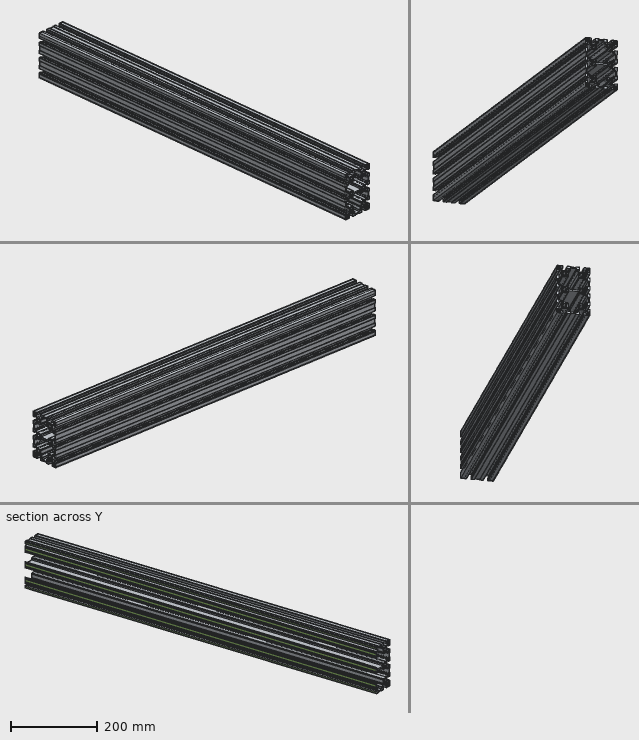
import cadquery as cq

LENGTH = 1000.0
WIDTH = 80.0
HEIGHT = 120.0
CORNER_RADIUS = 3.0

PITCH = 40.0
CELL_Y = [-PITCH / 2, PITCH / 2]
CELL_Z = [-PITCH, 0.0, PITCH]

MOUTH_HALF_WIDTH = 5.0
MOUTH_CHAMFER = 1.0
LIP_THICKNESS = 6.0
CAVITY_HALF_WIDTH = 10.0
FLOOR_HALF_WIDTH = 6.6
SLOT_DEPTH = 12.0

BLOCK_HALF_WIDTH = 13.0
RIB_SPAN = 3.8

BOSS_HALF_SIZE = PITCH / 2 - SLOT_DEPTH
BOSS_CHAMFER = 2.0
SCREW_HOLE_DIAMETER = 10.0
HOLE_GROOVE_SPAN = 14.0
HOLE_GROOVE_WIDTH = 2.0

WALL_THICKNESS = 4.5
WEB_THICKNESS = 4.0
GROOVE_HALF_WIDTH = 6.0
GROOVE_DEPTH = 1.5

HOLLOW_INSET = 2.0
HOLLOW_LEG = 8.0
HOLLOW_WIDTH = 1.5


def section():
    """Workplane of the cross-section at one end: local axes are Y and Z."""
    return cq.Workplane("YZ", origin=(-LENGTH / 2, 0, 0))


def prism(points):
    """Full-length prism over a closed polygon of (y, z) points."""
    return section().polyline(points).close().extrude(LENGTH)


def bar(width, height, y=0.0, z=0.0):
    """Full-length rectangular bar centred on (y, z)."""
    return section().center(y, z).rect(width, height).extrude(LENGTH)


def on_side_face(points, side, z):
    """Map (offset, depth) points onto the face at +Y or -Y, about height z."""
    return [(side * (WIDTH / 2 - depth), z + offset) for offset, depth in points]


def on_level_face(points, side, y):
    """Map (offset, depth) points onto the face at +Z or -Z, about position y."""
    return [(y + offset, side * (HEIGHT / 2 - depth)) for offset, depth in points]


def along_all_faces(half_outline, y_places, z_places):
    """Prisms of one symmetric (offset, depth) outline at every place on the four long faces."""
    other_half = [(-offset, depth) for offset, depth in reversed(half_outline)]
    outline = half_outline + other_half
    prisms = []
    for side in (-1, 1):
        prisms += [prism(on_side_face(outline, side, z)) for z in z_places]
        prisms += [prism(on_level_face(outline, side, y)) for y in y_places]
    return prisms


def t_slots():
    slope_sum = FLOOR_HALF_WIDTH + SLOT_DEPTH
    half_outline = [
        (MOUTH_HALF_WIDTH + MOUTH_CHAMFER, 0),
        (MOUTH_HALF_WIDTH, MOUTH_CHAMFER),
        (MOUTH_HALF_WIDTH, LIP_THICKNESS),
        (CAVITY_HALF_WIDTH, LIP_THICKNESS),
        (CAVITY_HALF_WIDTH, slope_sum - CAVITY_HALF_WIDTH),
        (FLOOR_HALF_WIDTH, SLOT_DEPTH),
    ]
    return along_all_faces(half_outline, CELL_Y, CELL_Z)


def grooves():
    half_outline = [(GROOVE_HALF_WIDTH, 0), (GROOVE_HALF_WIDTH, GROOVE_DEPTH)]
    return along_all_faces(half_outline, [0.0], [-PITCH / 2, PITCH / 2])


def slot_surrounds():
    """Lip blocks and ribs around every slot, filled in solid down into the boss."""
    slope_sum = FLOOR_HALF_WIDTH + SLOT_DEPTH + RIB_SPAN
    half_outline = [
        (BLOCK_HALF_WIDTH, 0),
        (BLOCK_HALF_WIDTH, slope_sum - BLOCK_HALF_WIDTH),
        (BOSS_HALF_SIZE, slope_sum - BOSS_HALF_SIZE),
    ]
    return along_all_faces(half_outline, CELL_Y, CELL_Z)


def bosses():
    size = 2 * BOSS_HALF_SIZE
    return [
        bar(size, size, y, z).edges("|X").chamfer(BOSS_CHAMFER)
        for y in CELL_Y
        for z in CELL_Z
    ]


def chambers():
    """Hollow interior between the walls, less everything that stands in it."""
    space = bar(WIDTH - 2 * WALL_THICKNESS, HEIGHT - 2 * WALL_THICKNESS)
    space = space.cut(bar(PITCH, WEB_THICKNESS))
    for solid in slot_surrounds() + bosses():
        space = space.cut(solid)
    return space


def corner_hollows():
    near = HOLLOW_INSET
    inner = HOLLOW_INSET + HOLLOW_WIDTH
    far = HOLLOW_INSET + HOLLOW_LEG
    outline = [(near, near), (far, near), (far, inner), (inner, inner), (inner, far), (near, far)]
    return [
        prism([(side * (WIDTH / 2 - y), level * (HEIGHT / 2 - z)) for y, z in outline])
        for side in (-1, 1)
        for level in (-1, 1)
    ]


def screw_holes():
    """Round holes, each with four diagonal grooves along its bore."""
    hole = section().circle(SCREW_HOLE_DIAMETER / 2).extrude(LENGTH)
    for angle in (45, 135):
        groove_pair = bar(HOLE_GROOVE_SPAN, HOLE_GROOVE_WIDTH)
        hole = hole.union(groove_pair.rotate((0, 0, 0), (1, 0, 0), angle))
    return [hole.translate((0, y, z)) for y in CELL_Y for z in CELL_Z]


result = bar(WIDTH, HEIGHT).edges("|X").fillet(CORNER_RADIUS).cut(chambers())
for cutter in t_slots() + grooves() + corner_hollows() + screw_holes():
    result = result.cut(cutter)